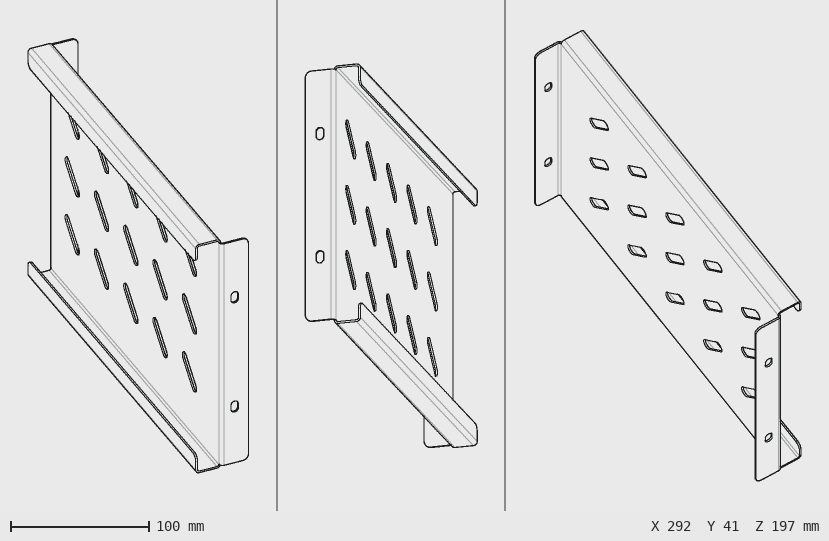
import cadquery as cq

LENGTH = 292.0
DEPTH = 41.0
HEIGHT = 197.0

SHEET = 1.5
BEND_OUTER = 3.0
BEND_INNER = BEND_OUTER - SHEET
SIDE_FLANGE_DEPTH = 22.5
SIDE_CORNER_RADIUS = 5.0
LIP_HEIGHT = 15.2
LIP_CORNER_RADIUS = 5.0

SLOT_COLUMNS = 5
SLOT_ROWS = 3
SLOT_PITCH = 50.0
SLOT_WIDTH = 8.0
SLOT_LENGTH = 30.7
SLOT_ANGLE = -45
SLOT_GRID_X = -7.0
SLOT_GRID_Z = 4.5

MOUNT_SPACING = 94.3
MOUNT_WIDTH = 5.8
MOUNT_LENGTH = 9.3
MOUNT_FROM_EDGE = 11.0

BACK_Y = SIDE_FLANGE_DEPTH
FRONT_Y = BACK_Y - DEPTH
PANEL_Y = SHEET / 2

SIDE_HEIGHT = HEIGHT - 2 * BEND_OUTER
HOOK_LENGTH = LENGTH - 2 * BEND_OUTER


def box_between(x_range, y_range, z_range):
    """Box spanning the given (low, high) ranges."""
    sizes = [high - low for low, high in (x_range, y_range, z_range)]
    corner = (x_range[0], y_range[0], z_range[0])
    return cq.Workplane("XY").box(*sizes, centered=False).translate(corner)


def panel_with_side_flanges():
    """Panel whose left and right edges are folded back towards +Y."""
    half_length = LENGTH / 2
    half_height = SIDE_HEIGHT / 2
    z_range = (-half_height, half_height)
    outside = box_between((-half_length, half_length), (0, BACK_Y), z_range)
    outside = outside.edges("|Z and <Y").fillet(BEND_OUTER)
    half_gap = half_length - SHEET
    inside = box_between((-half_gap, half_gap), (SHEET, BACK_Y + SHEET), z_range)
    inside = inside.edges("|Z and <Y").fillet(BEND_INNER)
    channel = outside.cut(inside)
    return channel.edges("|X and >Y").fillet(SIDE_CORNER_RADIUS)


def hooked_edges():
    """Panel whose top and bottom edges fold forward and end in inward lips."""
    half_length = HOOK_LENGTH / 2
    half_height = HEIGHT / 2
    x_range = (-half_length, half_length)
    outside = box_between(x_range, (FRONT_Y, SHEET), (-half_height, half_height))
    outside = outside.edges("|X").fillet(BEND_OUTER)
    half_gap = half_height - SHEET
    inside = box_between(x_range, (FRONT_Y + SHEET, 0), (-half_gap, half_gap))
    inside = inside.edges("|X").fillet(BEND_INNER)

    half_mouth = half_height - LIP_HEIGHT
    mouth = box_between(x_range, (FRONT_Y, FRONT_Y + SHEET), (-half_mouth, half_mouth))
    hooks = outside.cut(inside).cut(mouth)
    lip_corners = cq.selectors.BoxSelector(
        (-LENGTH, FRONT_Y - SHEET, -half_mouth - SHEET),
        (LENGTH, FRONT_Y + SHEET, half_mouth + SHEET),
    )
    return hooks.edges("|Y").edges(lip_corners).fillet(LIP_CORNER_RADIUS)


def panel_slots():
    """Grid of diagonal slots through the panel."""
    return (
        cq.Workplane("XZ", origin=(SLOT_GRID_X, PANEL_Y, SLOT_GRID_Z))
        .rarray(SLOT_PITCH, SLOT_PITCH, SLOT_COLUMNS, SLOT_ROWS)
        .slot2D(SLOT_LENGTH, SLOT_WIDTH, SLOT_ANGLE)
        .extrude(SHEET, both=True)
    )


def mounting_slots():
    """Upright slots passing through both side flanges."""
    half_spacing = MOUNT_SPACING / 2
    return (
        cq.Workplane("YZ", origin=(0, BACK_Y - MOUNT_FROM_EDGE, 0))
        .pushPoints([(0, -half_spacing), (0, half_spacing)])
        .slot2D(MOUNT_LENGTH, MOUNT_WIDTH, 90)
        .extrude(LENGTH, both=True)
    )


result = panel_with_side_flanges().union(hooked_edges())
result = result.cut(panel_slots()).cut(mounting_slots())